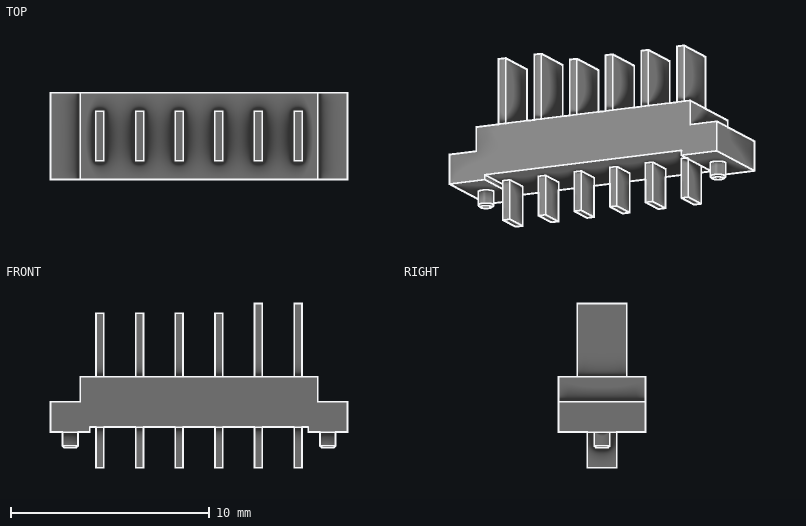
import cadquery as cq

length = 15.0
depth = 4.4
flange_top = 1.55
body_length = 12.0
body_top = 2.8
foot_length = 2.0
foot_height = 0.25

contact_count = 6
tall_count = 2
contact_span = 10.0
contact_pitch = contact_span / (contact_count - 1)
contact_thickness = 0.4
blade_width = 2.5
tail_width = 1.5
total_height = 8.3
tail_bottom = -1.8
tall_blade_top = total_height + tail_bottom
short_blade_top = tall_blade_top - 0.5

peg_spacing = 13.0
peg_diameter = 0.8
peg_length = 0.8
peg_chamfer = 0.1


def block(size_x, size_y, bottom, top, x=0.0):
    """Box centred on Y = 0 and on the given X, between two heights."""
    return (
        cq.Workplane("XY")
        .box(size_x, size_y, top - bottom, centered=(True, True, False))
        .translate((x, 0, bottom))
    )


def make_housing():
    flange = block(length, depth, 0, flange_top)
    body = block(body_length, depth, foot_height, body_top)
    relief = block(length - 2 * foot_length, depth, 0, foot_height)
    return flange.union(body).cut(relief)


def make_contact(x, blade_top):
    blade = block(contact_thickness, blade_width, flange_top, blade_top, x)
    tail = block(contact_thickness, tail_width, tail_bottom, flange_top, x)
    return blade.union(tail)


def make_peg(x):
    return (
        cq.Workplane("XY")
        .center(x, 0)
        .circle(peg_diameter / 2)
        .extrude(-peg_length)
        .faces("<Z")
        .chamfer(peg_chamfer)
    )


result = make_housing()

for index in range(contact_count):
    contact_x = index * contact_pitch - contact_span / 2
    is_tall = index >= contact_count - tall_count
    blade_top = tall_blade_top if is_tall else short_blade_top
    result = result.union(make_contact(contact_x, blade_top))

for side in (-1, 1):
    result = result.union(make_peg(side * peg_spacing / 2))